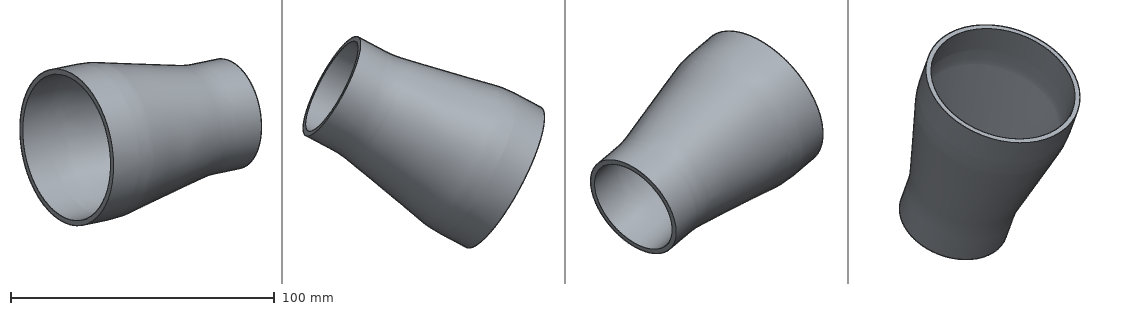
import cadquery as cq
import math

length = 76.0
collar_length = 12.0
bend_radius = 37.25
wide_outer_diameter = 60.3
wide_inner_diameter = 56.3
narrow_outer_diameter = 42.4
narrow_inner_diameter = 38.4

wide_end = -length / 2
narrow_end = length / 2
taper_start = wide_end + collar_length
taper_end = narrow_end - collar_length


def reducer_body(wide_diameter, narrow_diameter):
    """Solid of revolution whose cone blends tangentially into both collars."""
    wide_radius = wide_diameter / 2
    narrow_radius = narrow_diameter / 2

    taper_length = taper_end - taper_start
    center_offset = 2 * bend_radius - (wide_radius - narrow_radius)
    center_distance = math.hypot(taper_length, center_offset)
    cone_length = math.sqrt(center_distance**2 - (2 * bend_radius) ** 2)
    cone_angle = math.atan2(2 * bend_radius, cone_length) - math.atan2(center_offset, taper_length)

    def bend_step(angle):
        """Radial and axial travel along a bend after turning by the angle."""
        return bend_radius * (1 - math.cos(angle)), bend_radius * math.sin(angle)

    mid_drop, mid_run = bend_step(cone_angle / 2)
    full_drop, full_run = bend_step(cone_angle)

    return (
        cq.Workplane("XY")
        .moveTo(0, wide_end)
        .lineTo(wide_radius, wide_end)
        .lineTo(wide_radius, taper_start)
        .threePointArc(
            (wide_radius - mid_drop, taper_start + mid_run),
            (wide_radius - full_drop, taper_start + full_run),
        )
        .lineTo(narrow_radius + full_drop, taper_end - full_run)
        .threePointArc(
            (narrow_radius + mid_drop, taper_end - mid_run),
            (narrow_radius, taper_end),
        )
        .lineTo(narrow_radius, narrow_end)
        .lineTo(0, narrow_end)
        .close()
        .revolve(360, (0, 0, 0), (0, 1, 0))
    )


outer_body = reducer_body(wide_outer_diameter, narrow_outer_diameter)
bore = reducer_body(wide_inner_diameter, narrow_inner_diameter)
result = outer_body.cut(bore)